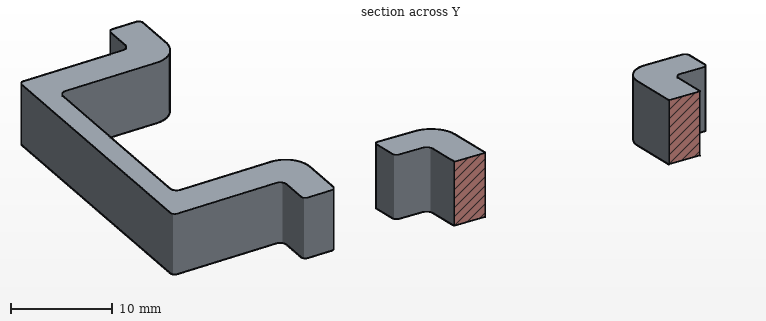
import cadquery as cq

total_width = 37.5
total_depth = 16.36
height = 7.0

channel_width = 29.5
opening_width = 22.0
base_thickness = 2.37
flange_thickness = 3.71

edge_radius = 0.5
inside_radius = 0.75
bend_radius = 2.8

back_y = total_depth / 2
base_y = -back_y
floor_y = base_y + base_thickness
flange_y = back_y - flange_thickness


def centred_box(width, y_low, y_high):
    """Block of full height, symmetric in X, between two Y levels."""
    depth = y_high - y_low
    return cq.Workplane("XY").box(width, depth, height).translate((0, (y_low + y_high) / 2, 0))


def round_corners(body, half_width, y, radius):
    """Fillet the mirrored pair of vertical edges at X = +/-half_width and the given Y."""
    for x in (-half_width, half_width):
        body = body.edges(cq.selectors.NearestToPointSelector((x, y, 0))).fillet(radius)
    return body


channel = centred_box(channel_width, base_y, back_y)
flanges = centred_box(total_width, flange_y, back_y)
opening = centred_box(opening_width, floor_y, back_y)
result = channel.union(flanges).cut(opening)

corners = [
    (channel_width / 2, base_y, edge_radius),
    (total_width / 2, flange_y, edge_radius),
    (total_width / 2, back_y, edge_radius),
    (channel_width / 2, flange_y, inside_radius),
    (opening_width / 2, floor_y, inside_radius),
    (opening_width / 2, back_y, bend_radius),
]
for half_width, y, radius in corners:
    result = round_corners(result, half_width, y, radius)